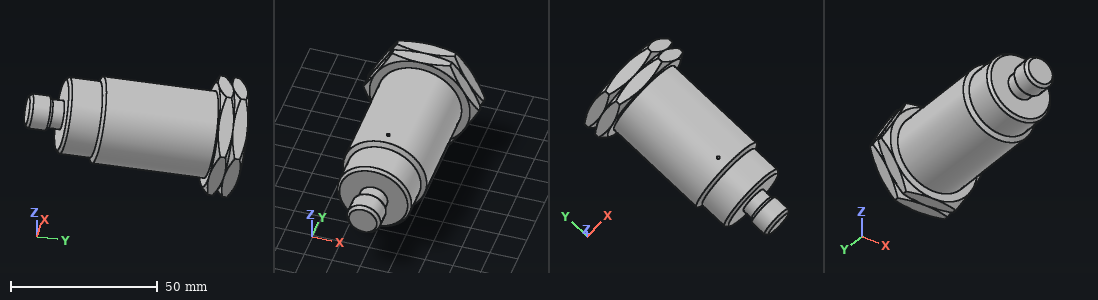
import cadquery as cq
import math


barrel_radius = 15.0
nose_radius = 13.2
neck_radius = 5.0
plug_radius = 6.0
chamfer = 1.0
barrel_end = 48.95
nose_end = 61.5
neck_end = 65.5
total_length = 73.5

pinhole_radius = 0.5
pinhole_depth = 0.2
pinhole_distance = 45.0

nut_count = 2
nut_thickness = 5.0
across_flats = 36.0
nut_chamfer_angle = 30.0
corner_radius = across_flats / 2 / math.cos(math.radians(30))


def revolve_about_y(profile):
    """Turn a closed (radius, Y) profile about the Y axis."""
    return cq.Workplane("XY").polyline(profile).close().revolve(360, (0, 0, 0), (0, 1, 0))


def make_housing():
    body = revolve_about_y([
        (0, 0),
        (barrel_radius, 0),
        (barrel_radius, -barrel_end),
        (nose_radius, -barrel_end - chamfer),
        (nose_radius, -nose_end + chamfer),
        (nose_radius - chamfer, -nose_end),
        (neck_radius, -nose_end),
        (neck_radius, -neck_end),
        (plug_radius, -neck_end - chamfer),
        (plug_radius, -total_length + chamfer),
        (plug_radius - chamfer, -total_length),
        (0, -total_length),
    ])
    pinhole = (
        cq.Workplane("XY", origin=(0, -pinhole_distance, barrel_radius - pinhole_depth))
        .circle(pinhole_radius)
        .extrude(2 * pinhole_depth)
    )
    return body.cut(pinhole)


def make_nut(rear_y):
    """Hexagon nut with corners on the X axis and both faces chamfered to the flats."""
    hexagon = cq.Workplane("XZ").polygon(6, 2 * corner_radius).extrude(nut_thickness)
    face_radius = across_flats / 2
    corner_drop = (corner_radius - face_radius) * math.tan(math.radians(nut_chamfer_angle))
    envelope = revolve_about_y([
        (barrel_radius, 0),
        (face_radius, 0),
        (corner_radius, -corner_drop),
        (corner_radius, -nut_thickness + corner_drop),
        (face_radius, -nut_thickness),
        (barrel_radius, -nut_thickness),
    ])
    return hexagon.intersect(envelope).translate((0, rear_y, 0))


housing = make_housing()
nuts = [make_nut(-i * nut_thickness) for i in range(nut_count)]

result = cq.Compound.makeCompound([housing.val(), *[nut.val() for nut in nuts]])